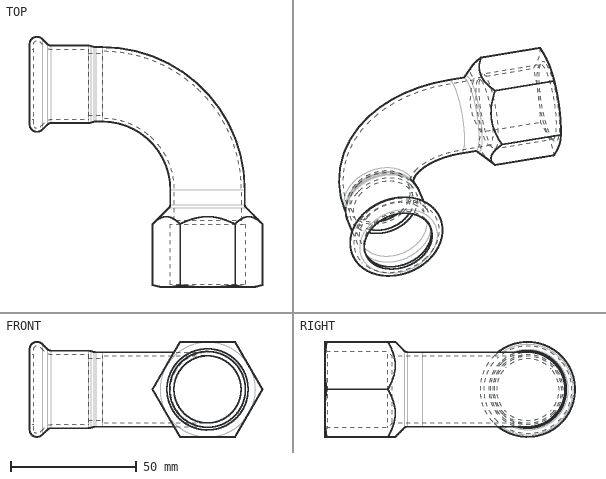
import cadquery as cq
import math


overall_x = 92.94
overall_y = 99.85
wall = 1.5
tube_radius = 29.8 / 2
tube_bore_radius = tube_radius - wall
bend_radius = 42.0

hex_across_flats = 38.0
hex_across_corners = hex_across_flats / math.cos(math.pi / 6)
hex_corner_radius = hex_across_corners / 2
end_chamfer_inset = 0.05
end_chamfer_radius = hex_across_flats / 2 - end_chamfer_inset
end_chamfer_angle = math.radians(15)
shoulder_angle = math.radians(45)
shoulder_length = 32.2
shoulder_fillet = 1.7
thread_bore_radius = 15.14
thread_mouth_radius = 16.2
thread_depth = 25.0

bead_outer_radius = 19.0
bead_section_radius = 3.0
bead_flank_angle = math.radians(45)
bead_fillet = 2.0
socket_radius = 31.0 / 2
socket_bore_radius = socket_radius - wall
reducer_start = 23.5
reducer_length = 2.9
reducer_fillet = 3.0
stop_radius = 12.4

socket_end_x = hex_corner_radius - overall_x
hex_end_y = bead_outer_radius - overall_y
bend_start_x = -bend_radius
bend_end_y = -bend_radius


def arc_point(center, radius, angle):
    """Point on a circle, the angle being measured from the outward radial direction towards +X."""
    return (center[0] + radius * math.sin(angle), center[1] + radius * math.cos(angle))


def add_arc(outline, center, radius, start_angle, end_angle):
    """Continue an outline along an arc that starts at its current point."""
    middle = arc_point(center, radius, (start_angle + end_angle) / 2)
    return outline.threePointArc(middle, arc_point(center, radius, end_angle))


def revolve_about_x(outline):
    """Solid of revolution about the press socket axis."""
    return outline.close().revolve(360, (0, 0, 0), (1, 0, 0))


def bead_outline(inset):
    """Rolled bead and its flank, moved inwards by inset, from the axis to the socket wall."""
    bead_center = (
        socket_end_x + bead_section_radius,
        bead_outer_radius - bead_section_radius,
    )
    fillet_center_radius = socket_radius + bead_fillet
    radial_gap = fillet_center_radius - bead_center[1]
    flank_gap = bead_section_radius + bead_fillet - radial_gap * math.cos(bead_flank_angle)
    fillet_center = (
        bead_center[0] + flank_gap / math.sin(bead_flank_angle),
        fillet_center_radius,
    )
    bead_arc = bead_section_radius - inset
    fillet_arc = bead_fillet + inset
    flank_end_angle = math.pi + bead_flank_angle

    outline = cq.Workplane("XY").moveTo(socket_end_x + inset, 0)
    outline = outline.lineTo(*arc_point(bead_center, bead_arc, -math.pi / 2))
    outline = add_arc(outline, bead_center, bead_arc, -math.pi / 2, bead_flank_angle)
    outline = outline.lineTo(*arc_point(fillet_center, fillet_arc, flank_end_angle))
    return add_arc(outline, fillet_center, fillet_arc, flank_end_angle, math.pi)


def socket_body():
    """Outside of the press socket, reduced smoothly to the tube diameter."""
    step = socket_radius - tube_radius
    run = reducer_length
    rise = 2 * reducer_fillet - step
    reducer_angle = math.atan2(run, rise) - math.acos(2 * reducer_fillet / math.hypot(run, rise))
    start_x = socket_end_x + reducer_start
    end_x = start_x + reducer_length
    convex_center = (start_x, socket_radius - reducer_fillet)
    concave_center = (end_x, tube_radius + reducer_fillet)

    outline = bead_outline(0)
    outline = outline.lineTo(start_x, socket_radius)
    outline = add_arc(outline, convex_center, reducer_fillet, 0, reducer_angle)
    outline = outline.lineTo(*arc_point(concave_center, reducer_fillet, math.pi + reducer_angle))
    outline = add_arc(outline, concave_center, reducer_fillet, math.pi + reducer_angle, math.pi)
    outline = outline.lineTo(bend_start_x, tube_radius).lineTo(bend_start_x, 0)
    return revolve_about_x(outline)


def socket_cavity():
    """Mouth, seal groove inside the bead, socket bore and the narrower tube stop."""
    stop_x = socket_end_x + reducer_start
    groove = bead_outline(wall)
    groove = groove.lineTo(stop_x, socket_bore_radius).lineTo(stop_x, 0)
    length = bend_start_x - socket_end_x
    mouth = cq.Workplane("YZ", origin=(socket_end_x, 0, 0)).circle(socket_bore_radius).extrude(wall)
    stop = cq.Workplane("YZ", origin=(socket_end_x, 0, 0)).circle(stop_radius).extrude(length)
    return revolve_about_x(groove).union(mouth).union(stop)


def bend(radius):
    """Quarter torus joining the two straight ends."""
    section = cq.Workplane("YZ", origin=(bend_start_x, 0, 0)).circle(radius)
    return section.revolve(90, (-bend_radius, 1, 0), (-bend_radius, 0, 0))


def hex_socket_body():
    """Hexagon turned to a cone at the tube and lightly chamfered at the open end."""
    shoulder_y = hex_end_y + shoulder_length
    tangent_length = shoulder_fillet * math.tan(shoulder_angle / 2)
    fillet_center = (tube_radius + shoulder_fillet, shoulder_y + tangent_length)
    fillet_middle = (
        fillet_center[0] - shoulder_fillet * math.cos(shoulder_angle / 2),
        fillet_center[1] - shoulder_fillet * math.sin(shoulder_angle / 2),
    )
    fillet_end = (
        fillet_center[0] - shoulder_fillet * math.cos(shoulder_angle),
        fillet_center[1] - shoulder_fillet * math.sin(shoulder_angle),
    )
    corner_drop = (hex_corner_radius - tube_radius) / math.tan(shoulder_angle)
    chamfer_height = (hex_corner_radius - end_chamfer_radius) * math.tan(end_chamfer_angle)
    turned = (
        cq.Workplane("XY")
        .moveTo(0, hex_end_y)
        .lineTo(end_chamfer_radius, hex_end_y)
        .lineTo(hex_corner_radius, hex_end_y + chamfer_height)
        .lineTo(hex_corner_radius, shoulder_y - corner_drop)
        .lineTo(*fillet_end)
        .threePointArc(fillet_middle, (tube_radius, fillet_center[1]))
        .lineTo(tube_radius, bend_end_y)
        .lineTo(0, bend_end_y)
        .close()
        .revolve(360, (0, 0, 0), (0, 1, 0))
    )
    length = bend_end_y - hex_end_y
    hexagon = (
        cq.Workplane("XZ", origin=(0, bend_end_y, 0))
        .polygon(6, hex_across_corners)
        .extrude(length)
    )
    return turned.intersect(hexagon)


def hex_socket_cavity():
    """Chamfered thread bore narrowing through a cone to the tube bore."""
    mouth_chamfer = thread_mouth_radius - thread_bore_radius
    cone_length = thread_bore_radius - tube_bore_radius
    return (
        cq.Workplane("XY")
        .moveTo(0, hex_end_y)
        .lineTo(thread_mouth_radius, hex_end_y)
        .lineTo(thread_bore_radius, hex_end_y + mouth_chamfer)
        .lineTo(thread_bore_radius, hex_end_y + thread_depth)
        .lineTo(tube_bore_radius, hex_end_y + thread_depth + cone_length)
        .lineTo(tube_bore_radius, bend_end_y)
        .lineTo(0, bend_end_y)
        .close()
        .revolve(360, (0, 0, 0), (0, 1, 0))
    )


body = socket_body().union(bend(tube_radius)).union(hex_socket_body())
cavity = socket_cavity().union(bend(tube_bore_radius)).union(hex_socket_cavity())
result = body.cut(cavity)